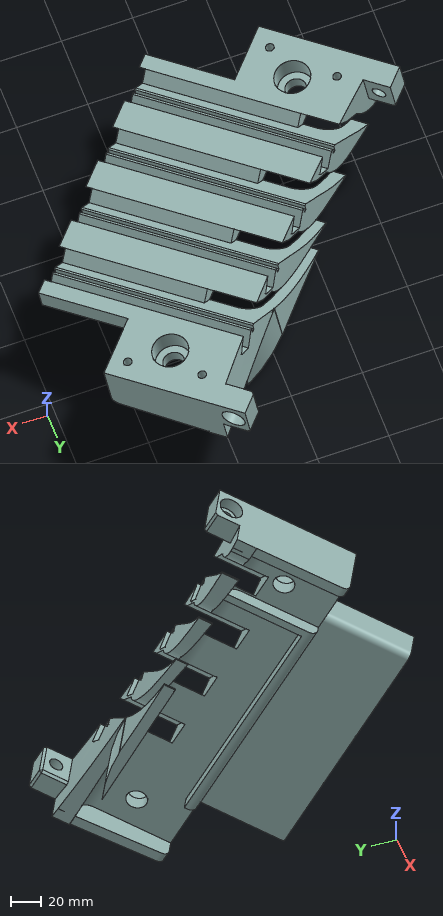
import cadquery as cq
import math


ROLL = -1.9
PITCH = 8.4
YAW = -42.5

CHANNEL_COUNT = 4
PITCH_ACROSS = 47.0
DECK_WIDTH = CHANNEL_COUNT * PITCH_ACROSS
DECK_THICKNESS = 20.5
DECK_FILLET = 5.0
OPENING_HALF = 13.0
NECK_HALF = 21.3
NECK_DEPTH = 10.0
VEE_OFFSET = 11.3
RIDGE_HALF = 2.5
VEE_DEPTH = NECK_DEPTH + VEE_OFFSET - RIDGE_HALF
LEDGE_HALF = 20.5
LEDGE_DEPTH = 11.3
SLIT_WIDTH = 2.3
SLIT_DEPTH = 4.8

NEAR_REACH = 42.3
FAR_REACH = 42.8
TAB_END = -64.5
TAB_THICKNESS = 25.5
SKIRT_THICKNESS = 8.0
SKIRT_DEPTH = 39.0
NEAR_WALL_DEPTH = 40.0
FAR_WALL_DEPTH = 43.7
SKIRT_FILLET = 5.7
BORE_X = -100.5
BORE_FROM_EDGE = 29.0
BORE_DIAMETER = 14.5
COUNTERBORE_DIAMETER = 24.7
COUNTERBORE_DEPTH = 15.5
PIN_DIAMETER = 5.7
PIN_DEPTH = 11.3
PIN_HOLES = (
    (-128.8, -22.7),
    (-77.7, -29.5),
    (-127.5, 212.7),
    (-76.5, 218.7),
)

EAR_TIP = -166.0
EAR_WIDTH = 16.7
EAR_HEIGHT = 25.5
EAR_CHAMFER = 1.7
EAR_HOLE_X = -155.7
EAR_HOLE_Z = -12.8
EAR_HOLE_DIAMETER = 9.6
EAR_COUNTERBORE_DIAMETER = 16.5
EAR_COUNTERBORE_DEPTH = 8.5

FIN_END = -150.3
HOLLOW_RADIUS = 1588.3
HOLLOW_BOTTOM_X = -141.2
HOLLOW_MID_Y = 102.0
WALL_INNER_X = -133.3
WALL_ROOT_RADIUS = 12.0

FRAME_DEPTH = 34.5
FRAME_RIB = 8.5
FRAME_SIDE = 5.7
FRAME_NEAR = 7.0
FRAME_FAR = 184.5
FRAME_FILLET = 6.2

SLOT_ENDS = (-111.8, -102.0, -102.0, -102.0)
SLOT_STRAIGHT = 25.5
SLOT_BEND_RADIUS = 127.5
FIN_REACHES = (38.9, 49.0, 62.0, 93.3)
FIN_TIP_THICKNESS = 1.0
SLOT_LOWER_EDGE = ((-18.7, 0.0), (-31.0, -9.6))
SLOT_LOWER_CURVE = ((-35.5, -17.5), (-46.8, -27.8))
SLOT_LOWER_ENDS = ((-61.5, -30.5), (-61.5, -33.5), (-66.7, -37.2), (-80.8, -43.5))

SCOOP_DEPTH = 75.7
SCOOP_TOP_DEPTH = 37.7
SCOOP_FAR_Y = 175.3
SCOOP_CURVE_Y = 134.2
SCOOP_MIDDLE_SETBACK = 2.0

CUT_MARGIN = 2.8

OUTER_NEAR = -NEAR_REACH
OUTER_FAR = DECK_WIDTH + FAR_REACH


def block(x0, x1, y0, y1, z0, z1):
    return cq.Workplane("XY").box(x1 - x0, y1 - y0, z1 - z0, centered=False).translate((x0, y0, z0))


def profile_along_x(wire, x0, x1):
    """Extrude a closed outline drawn in the y-z plane from x0 to x1."""
    return wire.close().extrude(x1 - x0).translate((x0, 0, 0))


def channel_start(index):
    """Point where the upper face of a slot leaves the middle ridge of its channel."""
    return ((index + 0.5) * PITCH_ACROSS - RIDGE_HALF, -NECK_DEPTH)


def upper_face_point(index, reach):
    """Point on the bent part of a slot's upper face, at a sideways distance from its start."""
    y, z = channel_start(index)
    sine = math.sin(math.pi / 4) - (reach - SLOT_STRAIGHT) / SLOT_BEND_RADIUS
    drop = SLOT_BEND_RADIUS * (math.sqrt(1 - sine**2) - math.cos(math.pi / 4))
    return (y - reach, z - SLOT_STRAIGHT - drop)


def upper_face(wire, index):
    """Continue an outline along the upper face of a slot, from its start to the fin tip."""
    y, z = channel_start(index)
    reach = FIN_REACHES[index]
    middle = (SLOT_STRAIGHT + reach) / 2
    return wire.lineTo(y - SLOT_STRAIGHT, z - SLOT_STRAIGHT).threePointArc(
        upper_face_point(index, middle), upper_face_point(index, reach)
    )


def fin_tip(index):
    """Lower corner of a fin's thin tip."""
    y, z = upper_face_point(index, FIN_REACHES[index])
    return (y, z - FIN_TIP_THICKNESS)


def lower_face(wire, index):
    """Continue an outline up the lower face of a slot, from the tip of the fin below it."""
    y, z = channel_start(index)
    offsets = (*SLOT_LOWER_EDGE, *SLOT_LOWER_CURVE, SLOT_LOWER_ENDS[index])
    points = [(y + dy, z + dz) for dy, dz in offsets]
    if index > 0:
        points.append(fin_tip(index - 1))
    return wire.lineTo(*points[-1]).spline(points[-2:0:-1], includeCurrent=True).lineTo(*points[0])


def channel(index):
    middle = (index + 0.5) * PITCH_ACROSS
    half = [
        (OPENING_HALF, CUT_MARGIN),
        (OPENING_HALF, 0),
        (NECK_HALF, -NECK_DEPTH),
        (LEDGE_HALF, -LEDGE_DEPTH),
        (VEE_OFFSET, -VEE_DEPTH),
        (RIDGE_HALF, -NECK_DEPTH),
        (SLIT_WIDTH / 2, -NECK_DEPTH),
        (SLIT_WIDTH / 2, -NECK_DEPTH - SLIT_DEPTH),
    ]
    right = [(middle + y, z) for y, z in half]
    left = [(middle - y, z) for y, z in reversed(half)]
    return profile_along_x(cq.Workplane("YZ").polyline(right + left), FIN_END - CUT_MARGIN, CUT_MARGIN)


def slot(index):
    """Opening from a channel down to the underside, between two fins."""
    wire = upper_face(cq.Workplane("YZ").moveTo(*channel_start(index)), index)
    wire = lower_face(wire, index)
    return profile_along_x(wire, FIN_END - CUT_MARGIN, SLOT_ENDS[index])


def fin(index):
    """Blade hanging from a channel's ridge, bounded below by the next slot."""
    wire = upper_face(cq.Workplane("YZ").moveTo(*channel_start(index)), index)
    wire = lower_face(wire, index + 1)
    return profile_along_x(wire, FIN_END, WALL_INNER_X)


def scoop():
    """Last blade, running on into a deep apron with a rounded far side."""
    last = CHANNEL_COUNT - 1
    wire = upper_face(cq.Workplane("YZ").moveTo(*channel_start(last)), last)
    wire = wire.lineTo(*fin_tip(last)).lineTo(SCOOP_FAR_Y, -SCOOP_DEPTH)
    wire = wire.lineTo(SCOOP_FAR_Y, -NECK_DEPTH - VEE_DEPTH)
    return profile_along_x(wire, FIN_END, WALL_INNER_X)


def scoop_rounding():
    """Waste outside the rounded far side of the scoop."""
    middle = (HOLLOW_BOTTOM_X + SCOOP_MIDDLE_SETBACK, (SCOOP_CURVE_Y + SCOOP_FAR_Y) / 2)
    return (
        cq.Workplane("XY", origin=(0, 0, -SCOOP_DEPTH - CUT_MARGIN))
        .moveTo(HOLLOW_BOTTOM_X, SCOOP_CURVE_Y)
        .threePointArc(middle, (WALL_INNER_X, SCOOP_FAR_Y))
        .lineTo(WALL_INNER_X, SCOOP_FAR_Y + CUT_MARGIN)
        .lineTo(FIN_END - CUT_MARGIN, SCOOP_FAR_Y + CUT_MARGIN)
        .lineTo(FIN_END - CUT_MARGIN, SCOOP_CURVE_Y)
        .close()
        .extrude(SCOOP_DEPTH + CUT_MARGIN - SCOOP_TOP_DEPTH)
    )


def deck():
    plate = block(FIN_END, 0, 0, DECK_WIDTH, -DECK_THICKNESS, 0)
    return plate.edges("|X and <Z").fillet(DECK_FILLET)


def skirt(y, wall_depth):
    """Plate down the outer side of a tab, a little deeper towards the finned end."""
    outline = [(FIN_END, 0), (TAB_END, 0), (TAB_END, -SKIRT_DEPTH), (FIN_END, -wall_depth)]
    plate = cq.Workplane("XZ").polyline(outline).close().extrude(-SKIRT_THICKNESS).translate((0, y, 0))
    corner = cq.selectors.NearestToPointSelector((TAB_END, y + SKIRT_THICKNESS / 2, -SKIRT_DEPTH))
    return plate.edges(corner).fillet(SKIRT_FILLET)


def tabs():
    """Thick slab reaching past both sides of the deck, with a skirt down each outer side."""
    slab = block(FIN_END, TAB_END, OUTER_NEAR, OUTER_FAR, -TAB_THICKNESS, 0)
    near_skirt = skirt(OUTER_NEAR, NEAR_WALL_DEPTH)
    return slab.union(near_skirt).union(skirt(OUTER_FAR - SKIRT_THICKNESS, FAR_WALL_DEPTH))


def frame():
    """Cross rib below the slab, with a wall running back from its near end to the finned end."""
    rib = block(TAB_END - FRAME_RIB, TAB_END, FRAME_NEAR, FRAME_FAR, -FRAME_DEPTH, -VEE_DEPTH)
    rib = rib.edges("|Y and >X and <Z").fillet(FRAME_FILLET)
    wall_end = TAB_END - FRAME_RIB
    side = block(WALL_INNER_X, wall_end, FRAME_NEAR, FRAME_NEAR + FRAME_SIDE, -FRAME_DEPTH, -VEE_DEPTH)
    return rib.union(side)


def fin_wall():
    """Wall across the finned end, deepening to the far side, with a rounded root under the slab."""
    outline = [
        (OUTER_NEAR, 0),
        (OUTER_NEAR, -NEAR_WALL_DEPTH),
        (SCOOP_CURVE_Y, -SCOOP_TOP_DEPTH),
        (OUTER_FAR, -FAR_WALL_DEPTH),
        (OUTER_FAR, 0),
    ]
    wall = profile_along_x(cq.Workplane("YZ").polyline(outline), FIN_END, WALL_INNER_X)
    root_x = WALL_INNER_X + WALL_ROOT_RADIUS
    root_z = -TAB_THICKNESS - WALL_ROOT_RADIUS
    root = block(WALL_INNER_X, root_x, OUTER_NEAR, OUTER_FAR, root_z, -TAB_THICKNESS)
    round_off = cq.Workplane("XZ").center(root_x, root_z).circle(WALL_ROOT_RADIUS)
    round_off = round_off.extrude(OUTER_NEAR - OUTER_FAR).translate((0, OUTER_NEAR, 0))
    return wall.union(root.cut(round_off))


def end_hollow():
    cylinder = cq.Workplane("XY").circle(HOLLOW_RADIUS).extrude(-SCOOP_DEPTH - 2 * CUT_MARGIN)
    return cylinder.translate((HOLLOW_BOTTOM_X - HOLLOW_RADIUS, HOLLOW_MID_Y, CUT_MARGIN))


def ear(y0):
    return block(EAR_TIP, WALL_INNER_X, y0, y0 + EAR_WIDTH, -EAR_HEIGHT, 0)


def near_ear():
    return ear(OUTER_NEAR).edges("|Y and <X and <Z").chamfer(EAR_CHAMFER)


def far_ear():
    inner_edges = "(|Y and <X and <Z) or (|Z and <X and <Y) or (|X and <Y and <Z)"
    return ear(OUTER_FAR - EAR_WIDTH).edges(inner_edges).chamfer(EAR_CHAMFER)


def ear_hole(y_outer, inward):
    """Hole across an ear with a counterbore on its outer side."""
    start = cq.Vector(EAR_HOLE_X, y_outer, EAR_HOLE_Z)
    axis = cq.Vector(0, inward, 0)
    through = cq.Solid.makeCylinder(EAR_HOLE_DIAMETER / 2, EAR_WIDTH, start, axis)
    recess = cq.Solid.makeCylinder(EAR_COUNTERBORE_DIAMETER / 2, EAR_COUNTERBORE_DEPTH, start, axis)
    return cq.Workplane(through.fuse(recess))


def drill_tabs(body):
    bores = [(BORE_X, OUTER_NEAR + BORE_FROM_EDGE), (BORE_X, OUTER_FAR - BORE_FROM_EDGE)]
    top = cq.Workplane("XY")
    body = body.cut(top.pushPoints(bores).circle(BORE_DIAMETER / 2).extrude(-TAB_THICKNESS))
    body = body.cut(top.pushPoints(bores).circle(COUNTERBORE_DIAMETER / 2).extrude(-COUNTERBORE_DEPTH))
    return body.cut(top.pushPoints(PIN_HOLES).circle(PIN_DIAMETER / 2).extrude(-PIN_DEPTH))


body = deck().union(tabs()).union(frame()).union(fin_wall())
for index in range(CHANNEL_COUNT):
    body = body.cut(slot(index))
for index in range(CHANNEL_COUNT - 1):
    body = body.union(fin(index))
body = body.union(scoop().cut(scoop_rounding()))
for index in range(CHANNEL_COUNT):
    body = body.cut(channel(index))
body = body.cut(end_hollow())
body = body.union(near_ear()).union(far_ear())
body = body.cut(ear_hole(OUTER_NEAR, 1)).cut(ear_hole(OUTER_FAR, -1))
body = drill_tabs(body)

result = (
    body.rotate((0, 0, 0), (1, 0, 0), ROLL)
    .rotate((0, 0, 0), (0, 1, 0), PITCH)
    .rotate((0, 0, 0), (0, 0, 1), YAW)
)